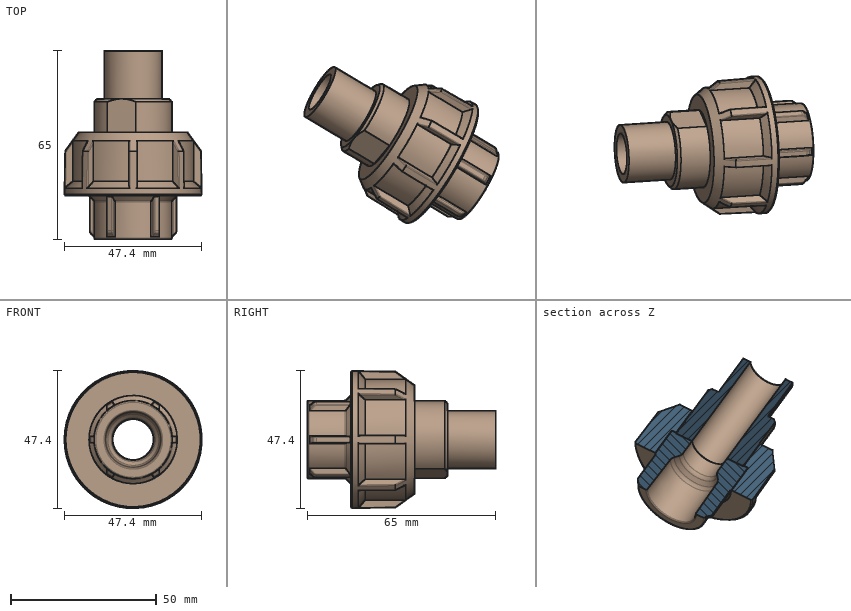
import cadquery as cq
import math

LENGTH = 65.0
CUT_OVERRUN = 1.3
PICK_TOLERANCE = 0.05

NUT_START = 14.95
NUT_END = 37.0
NUT_R = 23.7
NUT_RIM_CHAMFER = 0.5
NUT_SHOULDER_Y = 30.4
NUT_SHOULDER_R = 23.45
NUT_END_R = 18.7
GRIP_COUNT = 8
GRIP_FLOOR_R = 20.9
GRIP_FLOOR_Y = 19.95
GRIP_RIM_Y = 17.6
GRIP_TOP_HALF_WIDTH = 1.35
GRIP_BASE_HALF_WIDTH = 1.5
GRIP_EDGE_FILLET = 0.3

SOCKET_R = 13.45
SOCKET_NECK_R = 15.2
SOCKET_NECK_FILLET = 0.8
SOCKET_TIP_FILLET = 0.5
SOCKET_MOUTH_R = 9.75
SOCKET_BOTTOM_R = 9.35
SOCKET_MOUTH_FILLET = 0.4
SOCKET_DEPTH = 16.0
FUNNEL_DEPTH = 2.9
FUNNEL_FILLET = 2.6
RIB_SPREAD = 57.0
RIB_LEAN = 90 - RIB_SPREAD
RIBS = (
    (0, 0, 0),
    (RIB_SPREAD, 0, RIB_LEAN),
    (180 - RIB_SPREAD, RIB_LEAN, 0),
    (180, 0, 0),
    (180 + RIB_SPREAD, 0, RIB_LEAN),
    (-RIB_SPREAD, RIB_LEAN, 0),
)
RIB_TOP_R = 15.0
RIB_WIDTH = 2.2
RIB_TIP_Y = 0.85
RIB_EDGE_FILLET = 0.3
RIB_NOSE_FILLET = 1.55
RIB_ROOT_FILLET = 0.65
RIB_FOOT_R = SOCKET_R - 0.2
RIB_INNER_R = SOCKET_R - 1.95

JOINT_Y = (NUT_START + NUT_END) / 2
BORE_R = 7.0
SPIGOT_R = 10.0
HUB_R = SOCKET_R
HUB_END = 48.4
HUB_CHAMFER = 1.05
FLAT_TURN = 18.5
FLAT_DISTANCE = HUB_R - HUB_CHAMFER


def revolve_about_y(points):
    """Solid of revolution from (radius, y) points."""
    mirrored = [(-radius, y) for radius, y in points]
    return cq.Workplane("XY").polyline(mirrored).close().revolve(360, (0, 0), (0, 1))


def cylinder(radius, start, end):
    return revolve_about_y([(0, start), (radius, start), (radius, end), (0, end)])


def turned(body, angle):
    return body.rotate((0, 0, 0), (0, 1, 0), angle)


def circles_between(start, end):
    """Selector for edges centred on the axis from one Y to another."""
    low = (-PICK_TOLERANCE, start - PICK_TOLERANCE, -PICK_TOLERANCE)
    high = (PICK_TOLERANCE, end + PICK_TOLERANCE, PICK_TOLERANCE)
    return cq.selectors.BoxSelector(low, high)


def make_grip_rib():
    """Tapered radial bar that stays standing between two grip pockets."""
    taper = (GRIP_BASE_HALF_WIDTH - GRIP_TOP_HALF_WIDTH) / (NUT_R - GRIP_FLOOR_R)
    inner = GRIP_FLOOR_R - CUT_OVERRUN
    outer = NUT_R + CUT_OVERRUN
    inner_half = GRIP_BASE_HALF_WIDTH + CUT_OVERRUN * taper
    outer_half = GRIP_TOP_HALF_WIDTH - CUT_OVERRUN * taper
    section = [(-inner_half, inner), (inner_half, inner), (outer_half, outer), (-outer_half, outer)]
    return cq.Workplane("XZ").polyline(section).close().extrude(-LENGTH)


def make_grip_pockets():
    reach = 2 * NUT_R - GRIP_FLOOR_R
    slope = (GRIP_FLOOR_Y - GRIP_RIM_Y) / (NUT_R - GRIP_FLOOR_R)
    ring = revolve_about_y([
        (GRIP_FLOOR_R, GRIP_FLOOR_Y),
        (reach, GRIP_FLOOR_Y - slope * (reach - GRIP_FLOOR_R)),
        (reach, NUT_END),
        (GRIP_FLOOR_R, NUT_END),
    ])
    for i in range(GRIP_COUNT):
        ring = ring.cut(turned(make_grip_rib(), i * 360 / GRIP_COUNT))
    return ring


def is_grip_rib_edge(edge):
    """True for the long outer edges of the grip ribs, along their tops and down the end cone."""
    middle = edge.positionAt(0.5)
    radius = math.hypot(middle.x, middle.z)
    runs_along_axis = abs(edge.endPoint().y - edge.startPoint().y) > PICK_TOLERANCE
    pitch = 360 / GRIP_COUNT
    angle = math.degrees(math.atan2(middle.x, middle.z)) % pitch
    on_rib_middle = min(angle, pitch - angle) < PICK_TOLERANCE
    is_outer = radius > GRIP_FLOOR_R + GRIP_EDGE_FILLET
    return runs_along_axis and is_outer and middle.y > GRIP_FLOOR_Y and not on_rib_middle


def make_nut():
    nut = revolve_about_y([
        (0, NUT_START),
        (NUT_R - NUT_RIM_CHAMFER, NUT_START),
        (NUT_R, NUT_START + NUT_RIM_CHAMFER),
        (NUT_SHOULDER_R, NUT_SHOULDER_Y),
        (NUT_END_R, NUT_END),
        (0, NUT_END),
    ])
    nut = nut.cut(make_grip_pockets())
    rib_edges = [edge for edge in nut.edges().vals() if is_grip_rib_edge(edge)]
    nut = nut.newObject(rib_edges).fillet(GRIP_EDGE_FILLET)
    nut = nut.cut(cylinder(SOCKET_NECK_R, NUT_START, JOINT_Y))
    return nut.cut(cylinder(HUB_R, JOINT_Y, NUT_END))


def make_rib_wall_cutter(lean, side):
    """Everything beyond one long wall of a rib, with a cove left at the root of an upright wall."""
    wall = side * RIB_WIDTH / 2
    far = side * SOCKET_R
    cutter = cq.Workplane("XZ").moveTo(RIB_TOP_R, far).lineTo(RIB_TOP_R, wall)
    if lean:
        spread = RIB_TOP_R * math.tan(math.radians(lean))
        cutter = cutter.lineTo(0, wall + side * spread).lineTo(0, far)
    else:
        cove = side * RIB_ROOT_FILLET
        bend = 1 - math.sqrt(0.5)
        middle = (RIB_FOOT_R + bend * RIB_ROOT_FILLET, wall + bend * cove)
        cutter = cutter.lineTo(RIB_FOOT_R + RIB_ROOT_FILLET, wall)
        cutter = cutter.threePointArc(middle, (RIB_FOOT_R, wall + cove))
        cutter = cutter.lineTo(0, wall + cove).lineTo(0, far)
    return cutter.close().extrude(-NUT_END)


def make_socket_rib(low_lean, high_lean):
    height = RIB_TOP_R - SOCKET_R
    profile = [
        (RIB_INNER_R, NUT_START),
        (RIB_INNER_R, RIB_TIP_Y),
        (SOCKET_R, RIB_TIP_Y),
        (RIB_TOP_R, RIB_TIP_Y + height),
        (RIB_TOP_R, NUT_START),
    ]
    rib = cq.Workplane("XY").polyline(profile).close().extrude(2 * RIB_WIDTH, both=True)
    nose = cq.selectors.NearestToPointSelector((RIB_TOP_R, RIB_TIP_Y + height, 0))
    rib = rib.edges(nose).fillet(RIB_NOSE_FILLET)
    rib = rib.cut(make_rib_wall_cutter(low_lean, -1))
    rib = rib.cut(make_rib_wall_cutter(high_lean, 1))
    return rib.faces(">X").edges("|Y").fillet(RIB_EDGE_FILLET)


def make_socket():
    height = SOCKET_NECK_R - SOCKET_R
    socket = revolve_about_y([
        (0, 0),
        (SOCKET_R, 0),
        (SOCKET_R, NUT_START - height),
        (SOCKET_NECK_R, NUT_START),
        (SOCKET_NECK_R, JOINT_Y),
        (0, JOINT_Y),
    ])
    socket = socket.faces("<Y").edges().fillet(SOCKET_TIP_FILLET)
    neck = circles_between(NUT_START - height, NUT_START - height)
    socket = socket.edges(neck).fillet(SOCKET_NECK_FILLET)
    for angle, low_lean, high_lean in RIBS:
        socket = socket.union(turned(make_socket_rib(low_lean, high_lean), angle))
    funnel_end = SOCKET_DEPTH + FUNNEL_DEPTH
    bore = revolve_about_y([
        (0, 0),
        (SOCKET_MOUTH_R, 0),
        (SOCKET_BOTTOM_R, SOCKET_DEPTH),
        (BORE_R, funnel_end),
        (BORE_R, JOINT_Y),
        (0, JOINT_Y),
    ])
    funnel = circles_between(SOCKET_DEPTH, funnel_end)
    bore = bore.edges(funnel).edges("%CIRCLE").fillet(FUNNEL_FILLET)
    socket = socket.cut(bore)
    mouth = cq.selectors.RadiusNthSelector(0)
    return socket.faces("<Y").edges(mouth).fillet(SOCKET_MOUTH_FILLET)


def make_spigot():
    spigot = cylinder(HUB_R, JOINT_Y, HUB_END).faces(">Y").chamfer(HUB_CHAMFER)
    flat_length = HUB_END - NUT_END
    for side in (1, -1):
        beyond = cq.Workplane("XY").box(2 * HUB_R, flat_length, HUB_R)
        middle = (0, NUT_END + flat_length / 2, side * (FLAT_DISTANCE + HUB_R / 2))
        spigot = spigot.cut(beyond.translate(middle))
    spigot = spigot.union(cylinder(SPIGOT_R, JOINT_Y, LENGTH))
    spigot = spigot.cut(cylinder(BORE_R, JOINT_Y, LENGTH))
    return turned(spigot, -FLAT_TURN)


nut = make_nut().solids()
socket = make_socket().solids()
spigot = make_spigot().solids()
result = cq.Compound.makeCompound([nut.val(), socket.val(), spigot.val()])